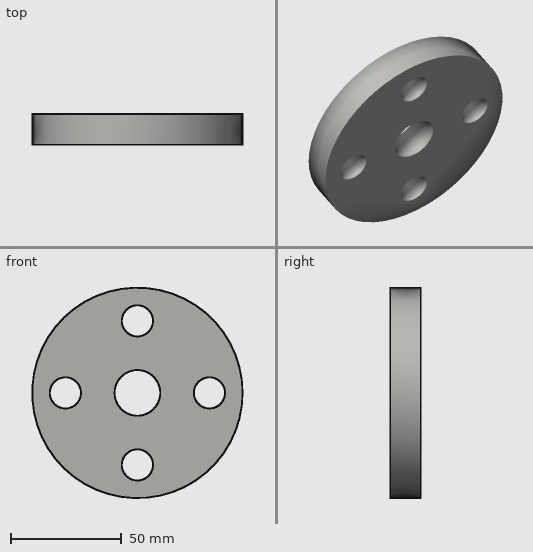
import cadquery as cq

disc_diameter = 95.0
thickness = 14.0
bore_diameter = 20.5
bolt_hole_diameter = 14.0
bolt_circle_diameter = 65.0
bolt_hole_count = 4

disc = cq.Workplane("XZ").circle(disc_diameter / 2).extrude(-thickness)

bored_disc = disc.faces("<Y").workplane().hole(bore_diameter)

result = (
    bored_disc.faces("<Y")
    .workplane()
    .polarArray(bolt_circle_diameter / 2, 0, 360, bolt_hole_count)
    .hole(bolt_hole_diameter)
)